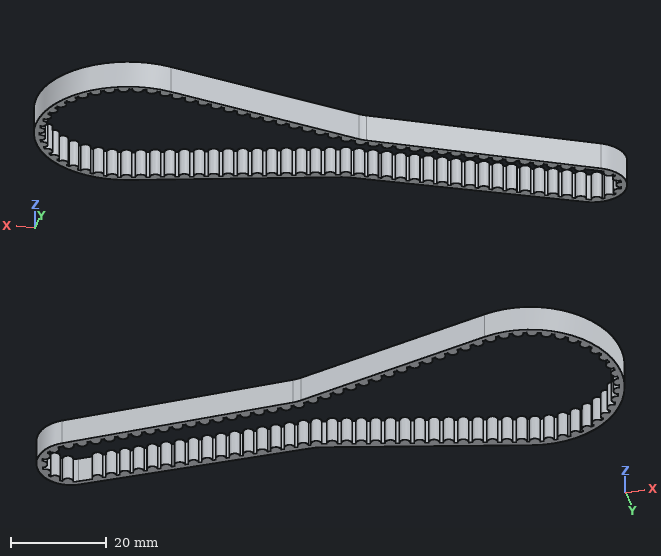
import cadquery as cq
import math


BELT_WIDTH = 6.0
BACKING_THICKNESS = 1.15
TOOTH_RADIUS = 1.15
TOOTH_CENTRE_DEPTH = BACKING_THICKNESS

OVERALL_LENGTH = 126.1
LARGE_RADIUS = 19.63
SMALL_RADIUS = 7.25
BEND_X = 58.2
BEND_Y = 8.03
BEND_RADIUS = 7.4

LARGE_CENTRE_X = OVERALL_LENGTH - SMALL_RADIUS - LARGE_RADIUS
BEND_X_FROM_SMALL = BEND_X - SMALL_RADIUS

LARGE_TOOTH_COUNT = 23
LARGE_TOOTH_ANGLE = 9.27
LARGE_TOOTH_PHASE = 0.35
SMALL_TOOTH_COUNT = 6
SMALL_TOOTH_ANGLE = 27.4
NEAR_TOOTH_COUNT = 17
NEAR_TOOTH_PITCH = 2.95
NEAR_FIRST_TOOTH = 1.2
FAR_TOOTH_COUNT = 14
FAR_TOOTH_PITCH = 3.04
FAR_FIRST_TOOTH = 2.15


def run_angle(distance_x, radius):
    """Slope of the line through the bend corner that touches a pulley circle distance_x away."""
    return math.asin(radius / math.hypot(distance_x, BEND_Y)) - math.atan2(BEND_Y, distance_x)


NEAR_ANGLE = -run_angle(BEND_X_FROM_SMALL, SMALL_RADIUS)
FAR_ANGLE = run_angle(LARGE_CENTRE_X - BEND_X_FROM_SMALL, LARGE_RADIUS)
BEND_SETBACK = BEND_RADIUS * math.tan((FAR_ANGLE - NEAR_ANGLE) / 2)
BEND_CENTRE = (
    BEND_X_FROM_SMALL - BEND_SETBACK * math.cos(NEAR_ANGLE) - BEND_RADIUS * math.sin(NEAR_ANGLE),
    BEND_Y - BEND_SETBACK * math.sin(NEAR_ANGLE) + BEND_RADIUS * math.cos(NEAR_ANGLE),
)


def point_on_normal(centre, radius, slope_angle):
    """Point of a circle where its upward normal belongs to a line of the given slope."""
    return (centre[0] - radius * math.sin(slope_angle), centre[1] + radius * math.cos(slope_angle))


def small_point(depth, slope_angle):
    return point_on_normal((0, 0), SMALL_RADIUS - depth, slope_angle)


def large_point(depth, slope_angle):
    return point_on_normal((LARGE_CENTRE_X, 0), LARGE_RADIUS - depth, slope_angle)


def bend_point(depth, slope_angle):
    return point_on_normal(BEND_CENTRE, -(BEND_RADIUS + depth), slope_angle)


def mirrored(point):
    return (point[0], -point[1])


def moved(point, distance, slope_angle):
    return (point[0] + distance * math.cos(slope_angle), point[1] + distance * math.sin(slope_angle))


def belt_loop(depth):
    """Solid filling the belt path at a given depth inside the outer face."""
    small_tangent = small_point(depth, NEAR_ANGLE)
    bend_start = bend_point(depth, NEAR_ANGLE)
    bend_middle = bend_point(depth, (NEAR_ANGLE + FAR_ANGLE) / 2)
    bend_end = bend_point(depth, FAR_ANGLE)
    large_tangent = large_point(depth, FAR_ANGLE)
    return (
        cq.Workplane("XY")
        .moveTo(*small_tangent)
        .lineTo(*bend_start)
        .threePointArc(bend_middle, bend_end)
        .lineTo(*large_tangent)
        .threePointArc(large_point(depth, -math.pi / 2), mirrored(large_tangent))
        .lineTo(*mirrored(bend_end))
        .threePointArc(mirrored(bend_middle), mirrored(bend_start))
        .lineTo(*mirrored(small_tangent))
        .threePointArc(small_point(depth, math.pi / 2), small_tangent)
        .close()
        .extrude(BELT_WIDTH)
    )


def arc_teeth(point_at, middle_angle, count, step_degrees):
    """Tooth centres evenly spread around a pulley, centred on the middle angle."""
    step = math.radians(step_degrees)
    first = middle_angle - step * (count - 1) / 2
    return [point_at(TOOTH_CENTRE_DEPTH, first + i * step) for i in range(count)]


def run_teeth(start, first_distance, pitch, count, slope_angle):
    """Tooth centres along a straight run, counted from its pulley tangent point."""
    return [moved(start, first_distance + i * pitch, slope_angle) for i in range(count)]


def near_run_teeth():
    """Tooth centres of the upper run beside the small pulley."""
    start = small_point(TOOTH_CENTRE_DEPTH, NEAR_ANGLE)
    return run_teeth(start, NEAR_FIRST_TOOTH, NEAR_TOOTH_PITCH, NEAR_TOOTH_COUNT, NEAR_ANGLE)


def far_run_teeth():
    """Tooth centres of the upper run beside the large pulley, heading back toward the bend."""
    start = large_point(TOOTH_CENTRE_DEPTH, FAR_ANGLE)
    return run_teeth(start, FAR_FIRST_TOOTH, FAR_TOOTH_PITCH, FAR_TOOTH_COUNT, FAR_ANGLE + math.pi)


def tooth_centres():
    bend_tooth = bend_point(TOOTH_CENTRE_DEPTH, (NEAR_ANGLE + FAR_ANGLE) / 2)
    lower = [mirrored(point) for point in near_run_teeth() + [bend_tooth] + far_run_teeth()]
    upper = near_run_teeth()[1:] + [bend_tooth] + far_run_teeth()
    large_middle = -math.pi / 2 + math.radians(LARGE_TOOTH_PHASE)
    large = arc_teeth(large_point, large_middle, LARGE_TOOTH_COUNT, LARGE_TOOTH_ANGLE)
    small = arc_teeth(small_point, math.pi / 2, SMALL_TOOTH_COUNT, SMALL_TOOTH_ANGLE)
    return upper + lower + large + small


teeth = cq.Workplane("XY").pushPoints(tooth_centres()).circle(TOOTH_RADIUS).extrude(BELT_WIDTH)
opening = belt_loop(BACKING_THICKNESS).cut(teeth)
result = belt_loop(0).cut(opening)